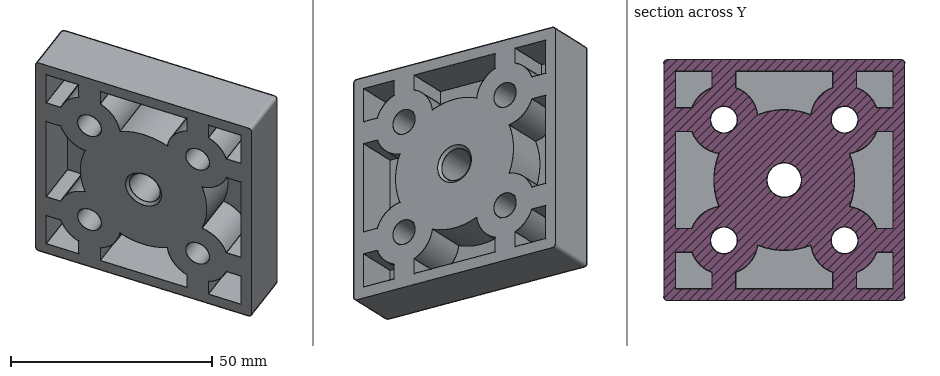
import cadquery as cq
import math

side = 60.0
thickness = 15.0
wall = 3.0
floor = 3.0
edge_radius = 1.0

hub_radius = 17.5
bore_diameter = 8.5
bore_mouth_diameter = 10.0

boss_offset = side / 4
boss_radius = 8.5
screw_hole_diameter = 6.6
rib_width = 6.0

pocket_depth = thickness - floor
pocket_side = side - 2 * wall
rib_length = pocket_side / 2 - boss_offset
rib_middle = boss_offset + rib_length / 2
bore_chamfer = (bore_mouth_diameter - bore_diameter) / 2
boss_centres = [(x, z) for x in (-boss_offset, boss_offset) for z in (-boss_offset, boss_offset)]


def face_plane():
    """Sketch plane on the open face: X right, Z up, extruding negatively goes into the block."""
    return cq.Workplane("XZ")


def block():
    """Square plate rounded everywhere except around the open face."""
    plate = face_plane().rect(side, side).extrude(-thickness)
    return plate.edges("|Y or >Y").fillet(edge_radius)


def raised_web():
    """Material left standing in the pocket: hub, screw bosses and the ribs tying each boss to the wall."""
    web = face_plane().circle(hub_radius).extrude(-pocket_depth)
    web = web.union(face_plane().pushPoints(boss_centres).circle(boss_radius).extrude(-pocket_depth))
    for x, z in boss_centres:
        upright = face_plane().center(x, math.copysign(rib_middle, z)).rect(rib_width, rib_length)
        crossbar = face_plane().center(math.copysign(rib_middle, x), z).rect(rib_length, rib_width)
        for rib in (upright, crossbar):
            web = web.union(rib.extrude(-pocket_depth))
    return web


def pockets():
    """Hollows between the outer wall and the web."""
    return face_plane().rect(pocket_side, pocket_side).extrude(-pocket_depth).cut(raised_web())


def bore():
    """Through bore with a 45 degree chamfer at the open face."""
    mouth_radius = bore_mouth_diameter / 2
    bore_radius = bore_diameter / 2
    half_section = [
        (0, 0),
        (mouth_radius, 0),
        (bore_radius, bore_chamfer),
        (bore_radius, thickness),
        (0, thickness),
    ]
    return cq.Workplane("XY").polyline(half_section).close().revolve(360, (0, 0, 0), (0, 1, 0))


def screw_holes():
    """Four plain through holes, one in each boss."""
    return face_plane().pushPoints(boss_centres).circle(screw_hole_diameter / 2).extrude(-thickness)


result = block().cut(pockets()).cut(bore()).cut(screw_holes())